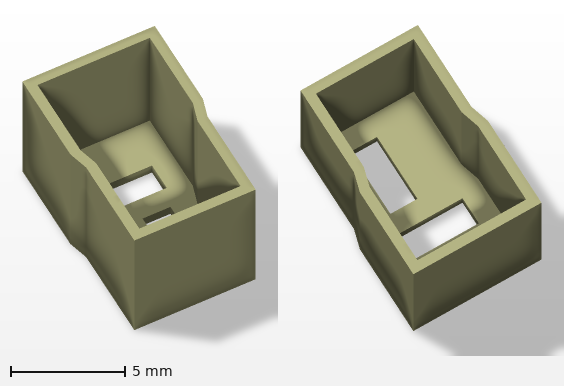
import cadquery as cq

length = 10.0
height = 6.5
wide_width = 6.55
narrow_width = 6.0
taper_length = 0.96
wall = 0.48
side_wall = 0.5
floor = 0.5

window_long = 3.42
window_short = 1.38
cross_window_x = -1.6
long_window_x = 1.8
long_window_y = 0.68


def stepped_prism(end_inset, side_inset, bottom):
    """Solid of the shell outline, drawn in from its ends and sides, up to the rim."""
    half_length = length / 2 - end_inset
    half_wide = wide_width / 2 - side_inset
    half_narrow = narrow_width / 2 - side_inset
    half_taper = taper_length / 2
    upper_edge = [
        (-half_length, half_wide),
        (-half_taper, half_wide),
        (half_taper, half_narrow),
        (half_length, half_narrow),
    ]
    lower_edge = [(x, -y) for x, y in reversed(upper_edge)]
    return (
        cq.Workplane("XY", origin=(0, 0, bottom))
        .polyline(upper_edge + lower_edge)
        .close()
        .extrude(height - bottom)
    )


def floor_window(x, y, size_x, size_y):
    """Cutter for a rectangular window through the floor."""
    return cq.Workplane("XY").center(x, y).rect(size_x, size_y).extrude(floor)


shell = stepped_prism(0, 0, 0).cut(stepped_prism(wall, side_wall, floor))
cross_window = floor_window(cross_window_x, 0, window_short, window_long)
long_window = floor_window(long_window_x, long_window_y, window_long, window_short)

result = shell.cut(cross_window).cut(long_window)